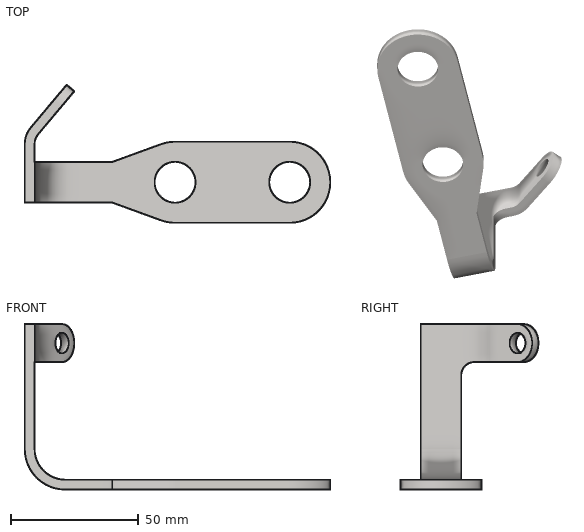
import cadquery as cq
import math

length = 120.0
height = 65.0
thickness = 4.0

pad_radius = 16.0
pad_hole_diameter = 16.0
hole_spacing = 45.0
taper_angle = math.radians(20)
strip_half_width = pad_radius / 2
base_bend_radius = 16.0

tab_height = 15.0
tab_hole_diameter = 8.0
tab_angle = math.radians(40)
tab_bend_radius = 10.0
tab_bend_start_y = 15.0
tab_tip_y = 38.3
corner_radius = 5.0

far_hole_x = length - pad_radius
near_hole_x = far_hole_x - hole_spacing
tab_bottom_z = height - tab_height
tab_sin = math.sin(tab_angle)
tab_cos = math.cos(tab_angle)


def make_strip():
    """Upright and base strip joined by the large bend."""
    inner_radius = base_bend_radius - thickness
    diagonal = math.sqrt(0.5)
    outer_mid = base_bend_radius * (1 - diagonal)
    inner_mid = base_bend_radius - inner_radius * diagonal
    return (
        cq.Workplane("XZ")
        .moveTo(0, height)
        .lineTo(0, base_bend_radius)
        .threePointArc((outer_mid, outer_mid), (base_bend_radius, 0))
        .lineTo(near_hole_x, 0)
        .lineTo(near_hole_x, thickness)
        .lineTo(base_bend_radius, thickness)
        .threePointArc((inner_mid, inner_mid), (thickness, base_bend_radius))
        .lineTo(thickness, height)
        .close()
        .extrude(strip_half_width, both=True)
    )


def make_pad():
    """Rounded pad whose taper is tangent to arcs around the near hole."""
    tangent_x = near_hole_x - pad_radius * math.sin(taper_angle)
    tangent_y = pad_radius * math.cos(taper_angle)
    neck_x = tangent_x - (tangent_y - strip_half_width) / math.tan(taper_angle)
    mid_x = near_hole_x - pad_radius * math.sin(taper_angle / 2)
    mid_y = pad_radius * math.cos(taper_angle / 2)
    pad = (
        cq.Workplane("XY")
        .moveTo(neck_x, -strip_half_width)
        .lineTo(tangent_x, -tangent_y)
        .threePointArc((mid_x, -mid_y), (near_hole_x, -pad_radius))
        .lineTo(far_hole_x, -pad_radius)
        .threePointArc((length, 0), (far_hole_x, pad_radius))
        .lineTo(near_hole_x, pad_radius)
        .threePointArc((mid_x, mid_y), (tangent_x, tangent_y))
        .lineTo(neck_x, strip_half_width)
        .close()
        .extrude(thickness)
    )
    return pad


def make_pad_holes():
    return (
        cq.Workplane("XY")
        .pushPoints([(near_hole_x, 0), (far_hole_x, 0)])
        .circle(pad_hole_diameter / 2)
        .extrude(thickness)
    )


def bend_point(radius, angle):
    """Point on the tab bend, measured from where the bend starts."""
    x = tab_bend_radius - radius * math.cos(angle)
    y = tab_bend_start_y + radius * math.sin(angle)
    return (x, y)


def make_tab_arm():
    """Flat arm and bend leading from the upright to the tab."""
    inner_radius = tab_bend_radius - thickness
    half_angle = tab_angle / 2
    return (
        cq.Workplane("XY", origin=(0, 0, tab_bottom_z))
        .moveTo(0, 0)
        .lineTo(0, tab_bend_start_y)
        .threePointArc(bend_point(tab_bend_radius, half_angle), bend_point(tab_bend_radius, tab_angle))
        .lineTo(*bend_point(inner_radius, tab_angle))
        .threePointArc(bend_point(inner_radius, half_angle), (thickness, tab_bend_start_y))
        .lineTo(thickness, 0)
        .close()
        .extrude(tab_height)
    )


def make_tab():
    """Straight tab with a fully rounded end and a concentric hole."""
    start_x, start_y = bend_point(tab_bend_radius, tab_angle)
    tab_length = (tab_tip_y - start_y) / tab_cos
    end_radius = tab_height / 2
    center_distance = tab_length - end_radius
    plane = cq.Plane(
        origin=(start_x, start_y, tab_bottom_z + end_radius),
        xDir=(tab_sin, tab_cos, 0),
        normal=(tab_cos, -tab_sin, 0),
    )
    return (
        cq.Workplane(plane)
        .moveTo(0, -end_radius)
        .lineTo(center_distance, -end_radius)
        .threePointArc((tab_length, 0), (center_distance, end_radius))
        .lineTo(0, end_radius)
        .close()
        .moveTo(center_distance, 0)
        .circle(tab_hole_diameter / 2)
        .extrude(thickness)
    )


def make_corner_fillet():
    """Concave fillet in the corner below the tab arm."""
    center_y = strip_half_width + corner_radius
    center_z = tab_bottom_z - corner_radius
    offset = corner_radius * math.sqrt(0.5)
    return (
        cq.Workplane("YZ")
        .moveTo(strip_half_width, tab_bottom_z)
        .lineTo(center_y, tab_bottom_z)
        .threePointArc((center_y - offset, center_z + offset), (strip_half_width, center_z))
        .close()
        .extrude(thickness)
    )


body = make_strip().union(make_pad()).cut(make_pad_holes())
result = body.union(make_tab_arm()).union(make_corner_fillet()).union(make_tab()).clean()